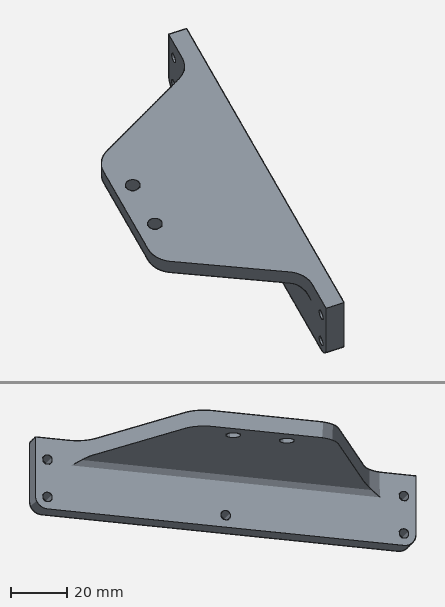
import cadquery as cq
import math

WIDTH = 141.97
DEPTH = 54.0
HEIGHT = 26.58

PLATE_THICKNESS = 7.0
PLATE_CORNER_RADIUS = 4.5
PLATE_HOLE_DIAMETER = 3.5
PLATE_HOLE_INSET = 4.5
PLATE_HOLE_PITCH_Z = 14.0

SHELF_THICKNESS = 6.0
SHELF_TIP_WIDTH = 51.5
SHELF_SIDE_ANGLE = 60.0
SHELF_CORNER_RADIUS = 10.0
SHELF_HOLE_DIAMETER = 5.2
SHELF_HOLE_PITCH = 20.0
SHELF_HOLE_SETBACK = 7.0

UNDERSIDE_FILLET_RADIUS = 4.15


def make_plate():
    plate = cq.Workplane("XY").box(WIDTH, PLATE_THICKNESS, HEIGHT, centered=(True, False, False))
    plate = plate.translate((0, -PLATE_THICKNESS, -HEIGHT))
    return plate.edges("|Y and <Z").fillet(PLATE_CORNER_RADIUS)


def shelf_outline():
    """Closed plan outline of the shelf and the plate top, with sharp corners."""
    half_tip = SHELF_TIP_WIDTH / 2
    reach = DEPTH - PLATE_THICKNESS
    half_root = half_tip + reach / math.tan(math.radians(SHELF_SIDE_ANGLE))
    right_side = [
        (WIDTH / 2, 0),
        (WIDTH / 2, -PLATE_THICKNESS),
        (half_root, -PLATE_THICKNESS),
        (half_tip, -DEPTH),
    ]
    left_side = [(-x, y) for x, y in reversed(right_side)]
    return cq.Workplane("XY").polyline(right_side + left_side).close()


def make_shelf_column():
    """Shelf outline with its four corners rounded, extended over the full height of the plate."""
    column = shelf_outline().extrude(-HEIGHT)
    return column.edges("|Z and (not >X) and (not <X)").fillet(SHELF_CORNER_RADIUS)


def make_side_profile():
    """Side section of the shelf with its underside fillet, swept across the width."""
    fillet_end_y = -PLATE_THICKNESS - UNDERSIDE_FILLET_RADIUS
    fillet_end_z = -SHELF_THICKNESS - UNDERSIDE_FILLET_RADIUS
    arc_offset = UNDERSIDE_FILLET_RADIUS * (1 - math.cos(math.radians(45)))
    section = (
        cq.Workplane("YZ")
        .moveTo(-PLATE_THICKNESS, 0)
        .lineTo(-DEPTH, 0)
        .lineTo(-DEPTH, -SHELF_THICKNESS)
        .lineTo(fillet_end_y, -SHELF_THICKNESS)
        .threePointArc(
            (-PLATE_THICKNESS - arc_offset, -SHELF_THICKNESS - arc_offset),
            (-PLATE_THICKNESS, fillet_end_z),
        )
        .close()
    )
    return section.extrude(WIDTH / 2, both=True)


def make_plate_holes():
    """Two holes near each end of the plate and one in the middle of the lower row."""
    end_x = WIDTH / 2 - PLATE_HOLE_INSET
    lower_z = -HEIGHT + PLATE_HOLE_INSET
    upper_z = lower_z + PLATE_HOLE_PITCH_Z
    centers = [(-end_x, upper_z), (end_x, upper_z), (-end_x, lower_z), (0, lower_z), (end_x, lower_z)]
    holes = cq.Workplane("XZ").pushPoints(centers).circle(PLATE_HOLE_DIAMETER / 2)
    return holes.extrude(PLATE_THICKNESS)


def make_shelf_holes():
    hole_y = -DEPTH + SHELF_HOLE_SETBACK
    centers = [(-SHELF_HOLE_PITCH / 2, hole_y), (SHELF_HOLE_PITCH / 2, hole_y)]
    holes = cq.Workplane("XY").pushPoints(centers).circle(SHELF_HOLE_DIAMETER / 2)
    return holes.extrude(-SHELF_THICKNESS)


shelf = make_shelf_column().intersect(make_side_profile())
result = make_plate().union(shelf).cut(make_plate_holes()).cut(make_shelf_holes())